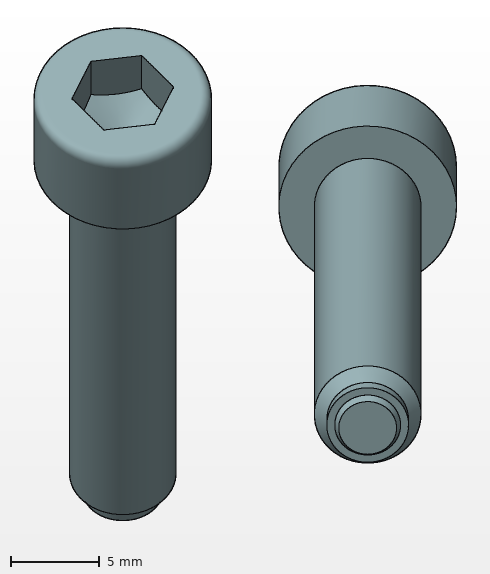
import cadquery as cq
import math

total_length = 36.0

head_diameter = 10.0
head_height = 6.0
head_edge_radius = 0.6

hex_across_flats = 5.0
hex_across_corners = hex_across_flats / math.cos(math.radians(30))
hex_wall_depth = 3.0
floor_cone_angle = 120.0

shank_diameter = 6.0
collar_diameter = 4.6
collar_height = 0.72
shank_chamfer = (shank_diameter - collar_diameter) / 2

ball_radius = 2.0
ball_center_height = 1.2
collar_bottom = 0.4

shank_bottom = collar_bottom + collar_height
head_bottom = total_length - head_height


def make_whole_ball():
    """Full sphere, used for both the ball and its seat."""
    return cq.Workplane("XY").sphere(ball_radius).translate((0, 0, ball_center_height))


def make_hex_socket():
    """Hexagon prism limited below by a cone through its corners."""
    corner_radius = hex_across_corners / 2
    cone_depth = corner_radius / math.tan(math.radians(floor_cone_angle / 2))
    wall_bottom = total_length - hex_wall_depth
    prism = (
        cq.Workplane("XY")
        .workplane(offset=wall_bottom - cone_depth)
        .polygon(6, hex_across_corners)
        .extrude(hex_wall_depth + cone_depth)
    )
    drilled_space = (
        cq.Workplane("XZ")
        .moveTo(0, wall_bottom - cone_depth)
        .lineTo(corner_radius, wall_bottom)
        .lineTo(corner_radius, total_length)
        .lineTo(0, total_length)
        .close()
        .revolve(360, (0, 0), (0, 1))
    )
    return prism.intersect(drilled_space)


def make_screw():
    """Socket head screw with a spherical seat in its tip."""
    head = (
        cq.Workplane("XY")
        .workplane(offset=head_bottom)
        .circle(head_diameter / 2)
        .extrude(head_height)
        .faces(">Z")
        .edges()
        .fillet(head_edge_radius)
    )
    shank = (
        cq.Workplane("XY")
        .workplane(offset=shank_bottom)
        .circle(shank_diameter / 2)
        .extrude(head_bottom - shank_bottom)
        .faces("<Z")
        .edges()
        .chamfer(shank_chamfer)
    )
    collar = (
        cq.Workplane("XY")
        .workplane(offset=collar_bottom)
        .circle(collar_diameter / 2)
        .extrude(collar_height)
    )
    return head.union(shank).union(collar).cut(make_hex_socket()).cut(make_whole_ball())


def make_ball():
    """Ball seated in the screw tip, cut flat at Z = 0."""
    below_flat = (
        cq.Workplane("XY")
        .circle(ball_radius)
        .extrude(-ball_radius)
    )
    return make_whole_ball().cut(below_flat)


screw = make_screw()
ball = make_ball()

result = cq.Compound.makeCompound([screw.solids().val(), ball.solids().val()])